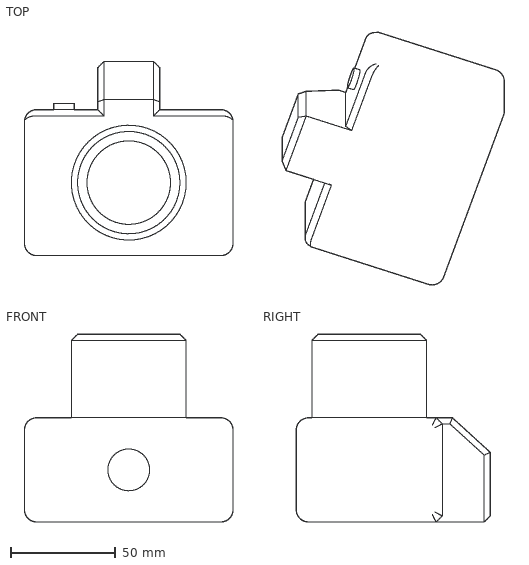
import cadquery as cq
import math

body_width = 100.0
body_depth = 70.0
body_height = 50.0
edge_radius = 6.0
bevel = 3.0
back_y = body_depth / 2
mid_z = body_height / 2

grip_width = 29.8
grip_reach = 23.0
grip_root = 10.0
slope_run = 18.2
slope_drop = 16.6

barrel_diameter = 55.0
barrel_height = 40.0
recess_diameter = 40.0
recess_depth = 2.0

hole_diameter = 20.0
hole_depth = 5.0
button_diameter = 10.0
button_reach = 3.0
button_x = -31.0


def make_top_edge_bound():
    """Slab holding everything inside the bevel on the top back edge.

    Its outline lies in a plane square to that edge's bevel. The bevel runs straight between
    the rounded corners, then curves down as quarter ellipses that end on the side faces,
    where the corner roundings of the body meet.
    """
    bevel_drop = bevel / math.sqrt(2)
    corner_drop = edge_radius * math.sqrt(2)
    half_width = body_width / 2
    slab_depth = body_depth + body_height
    start = (0, back_y + body_depth, body_height - body_depth)
    edge_plane = cq.Plane(origin=start, xDir=(1, 0, 0), normal=(0, -1, 1))
    half = (
        cq.Workplane(edge_plane)
        .moveTo(0, -slab_depth)
        .lineTo(half_width, -slab_depth)
        .lineTo(half_width, -corner_drop)
        .ellipseArc(edge_radius, corner_drop - bevel_drop, 0, 90)
        .lineTo(0, -bevel_drop)
        .close()
        .extrude(2 * slab_depth)
    )
    return half.union(half.mirror("YZ"))


def make_body():
    """Box with rounded edges, except for the bevelled top and bottom back edges."""
    box = cq.Workplane("XY").box(body_width, body_depth, body_height, centered=(True, True, False))
    rounded = box.edges("|Z or |Y or <Y").fillet(edge_radius)
    top_bound = make_top_edge_bound()
    bottom_bound = top_bound.mirror("XY", (0, 0, mid_z))
    return rounded.intersect(top_bound).intersect(bottom_bound)


def make_grip():
    """Block with a sloping top back corner and bevelled edges, square along its bottom sides."""
    grip_back = back_y + grip_reach
    profile = [
        (back_y - grip_root, 0),
        (grip_back, 0),
        (grip_back, body_height - slope_drop),
        (grip_back - slope_run, body_height),
        (back_y - grip_root, body_height),
    ]
    block = cq.Workplane("YZ").polyline(profile).close().extrude(grip_width / 2, both=True)
    sides = block.faces("<X or >X")
    bevelled = sides.edges("not (<Z or <Y)").chamfer(bevel)
    return bevelled.faces("<Z").edges(">Y").chamfer(bevel)


def make_barrel():
    """Upright cylinder with a bevelled rim and a shallow round recess in its top."""
    cylinder = (
        cq.Workplane("XY", origin=(0, 0, body_height))
        .circle(barrel_diameter / 2)
        .extrude(barrel_height)
        .faces(">Z")
        .chamfer(bevel)
    )
    return cylinder.faces(">Z").workplane().hole(recess_diameter, recess_depth)


def make_button():
    """Small round button standing out of the back face."""
    plane = cq.Workplane("XZ", origin=(button_x, back_y + button_reach, mid_z))
    return plane.circle(button_diameter / 2).extrude(2 * button_reach)


def make_front_hole():
    """Cutter for the blind hole in the middle of the front face."""
    plane = cq.Workplane("XZ", origin=(0, -back_y + hole_depth, mid_z))
    return plane.circle(hole_diameter / 2).extrude(hole_depth)


result = (
    make_body()
    .union(make_grip())
    .union(make_barrel())
    .union(make_button())
    .cut(make_front_hole())
)